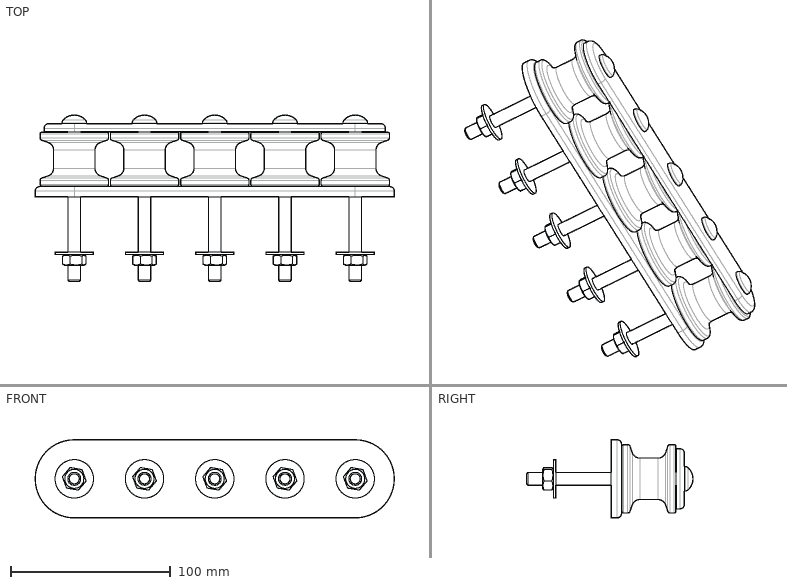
import cadquery as cq
import math


roller_count = 5
wide_plate_radius = 24.5
overall_length = 225
pitch = (overall_length - 2 * wide_plate_radius) / (roller_count - 1)
row_length = (roller_count - 1) * pitch

wide_plate_thickness = 6.5
narrow_plate_radius = 19.0
narrow_plate_thickness = 5.2
plate_fillet = 3.0

roller_length = 33.8
rim_radius = 43.0 / 2
core_radius = 26.0 / 2
rim_edge_fillet = 1.01
rim_width = 3.5
shoulder_fillet = 1.5
groove_fillet = 5.0
side_gap = 0.2
flank_angle = math.radians(71)

bolt_radius = 8.0 / 2
bolt_tip_y = -53.0
tip_chamfer = 1.0
head_radius = 15.5 / 2
head_height = 5.5
head_rim_height = 1.4
head_edge_fillet = 2.5

washer_radius = 24.0 / 2
washer_thickness = 1.5
nut_across_flats = 13.0
nut_height = 6.8
nut_chamfer_radius = 12.0 / 2
nut_chamfer_angle = math.radians(30)
nut_turn = 10
nut_end_y = -43.0

roller_y = wide_plate_thickness + side_gap
roller_middle_y = roller_y + roller_length / 2
narrow_plate_y = roller_y + roller_length + side_gap
narrow_plate_top_y = narrow_plate_y + narrow_plate_thickness


def cylinder(radius, start_y, length):
    return cq.Workplane("XZ", origin=(0, start_y, 0)).circle(radius).extrude(-length)


def revolve_about_y(profile):
    return profile.close().revolve(360, (0, 0, 0), (0, 1, 0))


def side_plate(radius, start_y, thickness):
    """Plate with round ends whose edge is rounded on the +Y face."""
    plate = (
        cq.Workplane("XZ", origin=(0, start_y, 0))
        .slot2D(row_length + 2 * radius, 2 * radius)
        .extrude(-thickness)
    )
    return plate.faces(">Y").edges().fillet(plate_fillet)


def roller_half():
    """Half of a roller, from its outer face to its middle."""
    middle = roller_length / 2
    edge_inset = rim_edge_fillet * (1 - math.sqrt(0.5))

    def shoulder(turn):
        """Radius and depth on the shoulder arc after turning away from the rim."""
        return (
            rim_radius - shoulder_fillet * (1 - math.cos(turn)),
            rim_width + shoulder_fillet * math.sin(turn),
        )

    flank_radius, flank_y = shoulder(flank_angle)
    groove_radius = core_radius + groove_fillet * (1 - math.cos(flank_angle))
    groove_y = flank_y + (flank_radius - groove_radius) / math.tan(flank_angle)
    core_y = groove_y + groove_fillet * math.sin(flank_angle)
    groove_mid = (
        core_radius + groove_fillet * (1 - math.cos(flank_angle / 2)),
        core_y - groove_fillet * math.sin(flank_angle / 2),
    )

    profile = (
        cq.Workplane("XY")
        .lineTo(rim_radius - rim_edge_fillet, 0)
        .threePointArc((rim_radius - edge_inset, edge_inset), (rim_radius, rim_edge_fillet))
        .lineTo(rim_radius, rim_width)
        .threePointArc(shoulder(flank_angle / 2), (flank_radius, flank_y))
        .lineTo(groove_radius, groove_y)
        .threePointArc(groove_mid, (core_radius, core_y))
        .lineTo(core_radius, middle)
        .lineTo(0, middle)
    )
    return revolve_about_y(profile).translate((0, -middle, 0))


def roller():
    half = roller_half()
    return half.union(half.mirror("XZ")).translate((0, roller_middle_y, 0))


def bolt():
    """Shank with a chamfered tip and a dome head, rounded where the dome meets its rim."""
    shank = cylinder(bolt_radius, bolt_tip_y, narrow_plate_top_y - bolt_tip_y)
    shank = shank.faces("<Y").chamfer(tip_chamfer)
    dome_height = head_height - head_rim_height
    dome_radius = (head_radius**2 + dome_height**2) / (2 * dome_height)
    half_angle = math.asin(head_radius / dome_radius) / 2
    dome_mid = (
        dome_radius * math.sin(half_angle),
        head_height - dome_radius * (1 - math.cos(half_angle)),
    )
    head = revolve_about_y(
        cq.Workplane("XY")
        .lineTo(head_radius, 0)
        .lineTo(head_radius, head_rim_height)
        .threePointArc(dome_mid, (0, head_height))
    )
    head = head.faces("%CYLINDER").edges(">Y").fillet(head_edge_fillet)
    return shank.union(head.translate((0, narrow_plate_top_y, 0)))


def nut():
    """Hexagon nut with conical chamfers on both faces."""
    corner_radius = nut_across_flats / 2 / math.cos(math.pi / 6)
    chamfer_height = (corner_radius - nut_chamfer_radius) * math.tan(nut_chamfer_angle)
    hexagon = (
        cq.Workplane("XZ")
        .polygon(6, 2 * corner_radius)
        .extrude(-nut_height)
        .rotate((0, 0, 0), (0, 1, 0), nut_turn)
    )
    envelope = revolve_about_y(
        cq.Workplane("XY")
        .lineTo(nut_chamfer_radius, 0)
        .lineTo(corner_radius, chamfer_height)
        .lineTo(corner_radius, nut_height - chamfer_height)
        .lineTo(nut_chamfer_radius, nut_height)
        .lineTo(0, nut_height)
    )
    return hexagon.intersect(envelope).translate((0, nut_end_y, 0))


def roller_station():
    """One roller with its bolt, washer and nut."""
    washer = cylinder(washer_radius, nut_end_y + nut_height, washer_thickness)
    return roller().union(bolt()).union(nut()).union(washer)


result = side_plate(wide_plate_radius, 0, wide_plate_thickness)
result = result.union(side_plate(narrow_plate_radius, narrow_plate_y, narrow_plate_thickness))

station = roller_station()
for index in range(roller_count):
    result = result.union(station.translate((index * pitch - row_length / 2, 0, 0)))